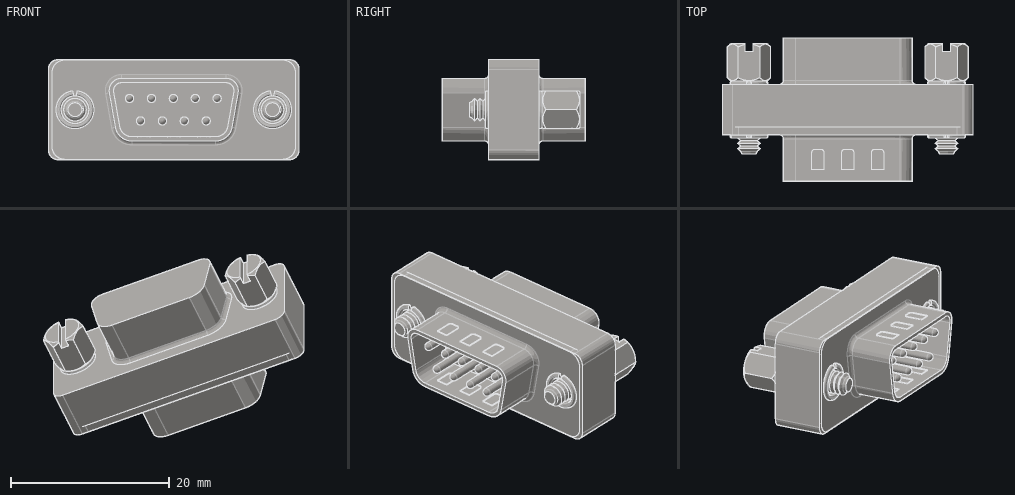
import cadquery as cq
import math

CASE_WIDTH = 31.75
CASE_HEIGHT = 12.7
CASE_DEPTH = 6.4
CORNER_RADIUS = 1.27

FLANGE_WIDTH = 30.81
FLANGE_HEIGHT = 12.55
FLANGE_THICKNESS = 0.98
FLANGE_CORNER_RADIUS = 1.6

OVERALL_DEPTH = 18.14
SHELL_LENGTH = (OVERALL_DEPTH - CASE_DEPTH) / 2
SHELL_HALF_HEIGHT = 3.97
SHELL_MID_HALF_WIDTH = 7.77
SIDE_ANGLE = math.radians(10)
TOP_CORNER_RADIUS = 1.57
BOTTOM_CORNER_RADIUS = 2.1
SHELL_WALL = 0.55
ROOT_FILLET = 0.48

PIN_RADIUS = 0.52
PIN_PITCH = 2.77
ROW_HEIGHT = 1.42
ROWS = ((5, ROW_HEIGHT), (4, -ROW_HEIGHT))
PIN_TIP_INSET = 0.57
PIN_SHIFT = -0.05

MARK_COUNT = 3
MARK_PITCH = 3.78
MARK_WIDTH = 1.56
MARK_LENGTH = 2.52
MARK_START = 1.82
MARK_CORNER_RADIUS = 0.4
MARK_DEPTH = 0.1

SCREW_SPACING = 24.99
SCREW_XS = (-SCREW_SPACING / 2, SCREW_SPACING / 2)
BORE_RADIUS = 1.75
COLLAR_RADIUS = 2.4
COLLAR_HEIGHT = 0.4
COLLAR_ROUNDING = 0.25
SPLIT_OUTER_WIDTH = 0.6
SPLIT_INNER_WIDTH = 0.15

HEX_FLATS = 4.76
HEX_CORNER_RADIUS = HEX_FLATS / math.sqrt(3)
HEX_LENGTH = 4.78
HEX_END_RADIUS = 2.3
SLOT_WIDTH = 0.96
SLOT_DEPTH = 1.0
THREAD_RADIUS = 1.43
THREAD_ROOT_RADIUS = 1.06
THREAD_PITCH = 0.68
SCREW_TIP_RADIUS = 0.88
SCREW_TIP_LENGTH = 0.33
SCREW_REACH = 2.41
THREAD_TURNS = 2

FRONT = -1
REAR = 1
FACE = CASE_DEPTH / 2


def prism(outline, y_start, y_end):
    """Extrude an outline function's XZ profile from y_start to y_end."""
    plane = cq.Workplane("XZ", origin=(0, y_start, 0))
    return outline(plane).extrude(y_start - y_end)


def cylinder(x, z, radius, y_start, y_end):
    return prism(lambda plane: plane.center(x, z).circle(radius), y_start, y_end)


def rounded_block(width, height, radius, y_start, y_end):
    block = prism(lambda plane: plane.rect(width, height), y_start, y_end)
    return block.edges("|Y").fillet(radius)


def flange():
    return rounded_block(
        FLANGE_WIDTH, FLANGE_HEIGHT, FLANGE_CORNER_RADIUS, -FACE, -FACE + FLANGE_THICKNESS
    )


def screw_holes():
    holes = [cylinder(x, 0, BORE_RADIUS, -OVERALL_DEPTH / 2, OVERALL_DEPTH / 2) for x in SCREW_XS]
    return holes[0].union(holes[1])


def d_prism(inset, y_start, y_end):
    """A D-shaped prism whose outline lies `inset` inside the outer face of the shell."""
    half_height = SHELL_HALF_HEIGHT - inset
    mid = SHELL_MID_HALF_WIDTH - inset / math.cos(SIDE_ANGLE)
    lean = half_height * math.tan(SIDE_ANGLE)
    corners = [
        (-mid - lean, half_height),
        (mid + lean, half_height),
        (mid - lean, -half_height),
        (-mid + lean, -half_height),
    ]
    body = prism(lambda plane: plane.polyline(corners).close(), y_start, y_end)
    body = body.edges("|Y and >Z").fillet(TOP_CORNER_RADIUS - inset)
    return body.edges("|Y and <Z").fillet(BOTTOM_CORNER_RADIUS - inset)


def collar(x, end):
    """A rounded ring on an end face, split by a wedge at its top."""
    top = end * (FACE + COLLAR_HEIGHT)
    ring = prism(
        lambda plane: plane.center(x, 0).circle(COLLAR_RADIUS).circle(BORE_RADIUS), end * FACE, top
    )
    ring = ring.faces(">Y" if end == REAR else "<Y").edges().fillet(COLLAR_ROUNDING)
    wedge_start = BORE_RADIUS - COLLAR_ROUNDING
    wedge = [
        (x - SPLIT_INNER_WIDTH / 2, wedge_start),
        (x + SPLIT_INNER_WIDTH / 2, wedge_start),
        (x + SPLIT_OUTER_WIDTH / 2, COLLAR_RADIUS),
        (x - SPLIT_OUTER_WIDTH / 2, COLLAR_RADIUS),
    ]
    return ring.cut(prism(lambda plane: plane.polyline(wedge).close(), end * FACE, top))


def add_collars(body, end):
    for x in SCREW_XS:
        body = body.union(collar(x, end))
    return body


def plug(end):
    """Solid D-shaped plug standing on an end plane, with a fillet flaring its root."""
    base = prism(lambda plane: plane.rect(CASE_WIDTH, CASE_HEIGHT), 0, end * FACE)
    body = base.union(d_prism(0, end * FACE, end * (FACE + SHELL_LENGTH)))
    root = cq.selectors.BoxSelector(
        (-CASE_WIDTH / 3, end * FACE - ROOT_FILLET, -CASE_HEIGHT / 3 - ROOT_FILLET),
        (CASE_WIDTH / 3, end * FACE + ROOT_FILLET, CASE_HEIGHT / 3 + ROOT_FILLET),
    )
    return body.edges(root).fillet(ROOT_FILLET).cut(base)


def pin(x, z):
    """A round pin with a domed tip."""
    dome_centre = -FACE - SHELL_LENGTH + PIN_TIP_INSET + PIN_RADIUS
    shank = cylinder(x, z, PIN_RADIUS, -FACE, dome_centre)
    tip = cq.Workplane("XY").sphere(PIN_RADIUS).translate((x, dome_centre, z))
    return shank.union(tip)


def mark(x, z):
    """A shallow block, centred on height z, rounded at the two corners nearest the flange."""
    y_centre = -FACE - MARK_START - MARK_LENGTH / 2
    block = cq.Workplane("XY").box(MARK_WIDTH, MARK_LENGTH, 2 * MARK_DEPTH)
    block = block.edges("|Z and >Y").fillet(MARK_CORNER_RADIUS)
    return block.translate((x, y_centre, z))


def make_pin_connector():
    """Flange with screw collars and a hollow marked shell around nine pins."""
    body = flange().union(plug(FRONT))
    body = body.cut(d_prism(SHELL_WALL, -FACE, -FACE - SHELL_LENGTH))
    body = add_collars(body.cut(screw_holes()), FRONT)
    for count, z in ROWS:
        for i in range(count):
            body = body.union(pin((i - (count - 1) / 2) * PIN_PITCH + PIN_SHIFT, z))
    inner_half_height = SHELL_HALF_HEIGHT - SHELL_WALL
    for i in range(MARK_COUNT):
        x = (i - (MARK_COUNT - 1) / 2) * MARK_PITCH
        for z in (SHELL_HALF_HEIGHT, -inner_half_height):
            body = body.cut(mark(x, z))
    return body


def make_socket_connector():
    return plug(REAR)


def make_case():
    """Block with a flange seat in its front, screw holes, and collars on its rear."""
    body = rounded_block(CASE_WIDTH, CASE_HEIGHT, CORNER_RADIUS, -FACE, FACE)
    return add_collars(body.cut(flange()).cut(screw_holes()), REAR)


def make_hex_head():
    """Hexagonal head with conical ends and a screwdriver slot, seated on the rear collar."""
    seat = FACE + COLLAR_HEIGHT
    end = seat + HEX_LENGTH
    head = prism(lambda plane: plane.polygon(6, 2 * HEX_CORNER_RADIUS), seat, end)
    slope = HEX_CORNER_RADIUS - HEX_END_RADIUS
    envelope = prism(lambda plane: plane.circle(HEX_CORNER_RADIUS), seat, end)
    head = head.intersect(envelope.edges().chamfer(slope))
    slot = cq.Workplane("XY").box(SLOT_WIDTH, 2 * SLOT_DEPTH, 2 * HEX_FLATS)
    return head.cut(slot.translate((0, end, 0)))


def make_shank():
    """Round shank ending in V-shaped thread rings and a tapered tip."""
    tip = -FACE - SCREW_REACH
    root = tip + SCREW_TIP_LENGTH
    profile = [(0, tip), (SCREW_TIP_RADIUS, tip), (THREAD_ROOT_RADIUS, root)]
    for turn in range(THREAD_TURNS + 1):
        if turn > 0:
            profile.append((THREAD_ROOT_RADIUS, root + turn * THREAD_PITCH))
        profile.append((THREAD_RADIUS, root + (turn + 0.5) * THREAD_PITCH))
    seat = FACE + COLLAR_HEIGHT
    profile += [(THREAD_RADIUS, seat), (0, seat)]
    return cq.Workplane("XY").polyline(profile).close().revolve(360, (0, 0), (0, 1))


def make_jackscrew(x):
    return make_hex_head().union(make_shank()).translate((x, 0, 0))


case = make_case()
pin_connector = make_pin_connector()
socket_connector = make_socket_connector()
jackscrews = [make_jackscrew(x) for x in SCREW_XS]

result = cq.Compound.makeCompound(
    [case.val(), pin_connector.val(), socket_connector.val(), *[screw.val() for screw in jackscrews]]
)